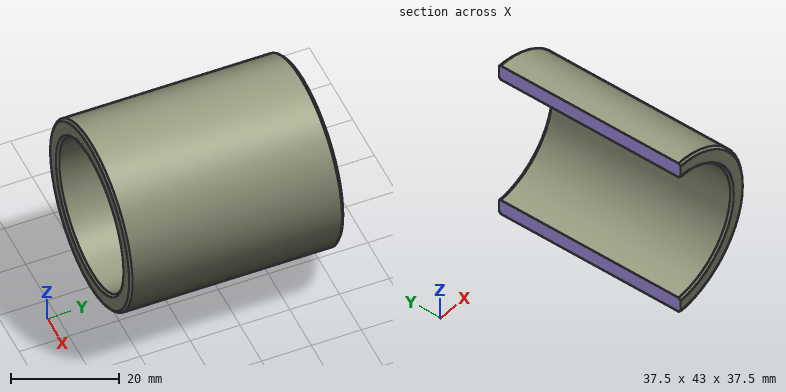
import cadquery as cq

outer_diameter = 37.5
bore_diameter = 30.29
length = 43.0
edge_chamfer = 0.475


def make_sleeve():
    """Plain tube along Y, centred on the origin."""
    return (
        cq.Workplane("XZ", origin=(0, length / 2, 0))
        .circle(outer_diameter / 2)
        .circle(bore_diameter / 2)
        .extrude(length)
    )


def chamfer_ends(sleeve):
    """Break the outer and bore edges on both end faces."""
    return sleeve.faces("<Y or >Y").edges().chamfer(edge_chamfer)


result = chamfer_ends(make_sleeve())